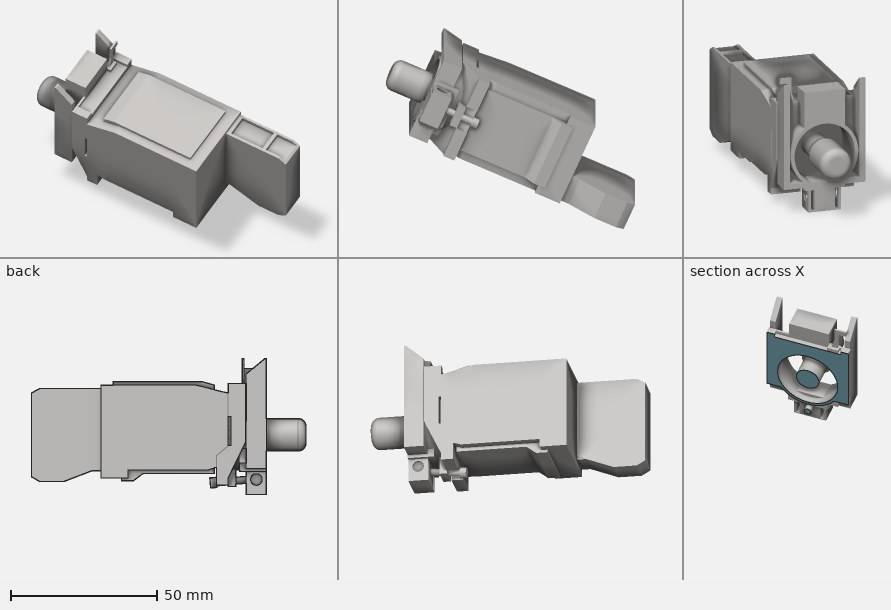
import cadquery as cq
import math


half_width = 14.9
top_z = 26.0
bottom_z = -20.5
length = 93.95

lamp_radius = 5.5
lamp_nose_radius = 2.7
lamp_stem_radius = 4.2

frame_front = 13.6
frame_back = 20.5
side_plate_outer_y = 14.7
side_plate_inner_y = 12.6
side_plate_tip = 0.6
side_plate_shoulder_z = 20.8
floor_top_z = -9.7
floor_bottom_z = -11.5
block_half_width = 7.2
block_back = 21.5
block_top_z = 22.7
foot_back = 22.7
foot_bottom_z = -12.6
collar_radius = 12.1
bore_radius = 10.9

tab_half_width = 5.8
tab_slot_outer_y = 5.0
tab_slot_inner_y = 3.8
tab_web = 0.5
tab_hole_x = 17.0
tab_hole_z = -15.3
tab_hole_radius = 2.0
nut_front = 24.05
nut_top_z = -11.65
nut_bottom_z = -17.8
nut_half_width = 3.8
screw_start_z = -15.4
screw_tilt = 5.0
screw_radius = 1.2
screw_head_radius = 1.8
screw_shank_length = 10.1
screw_embed = 0.9
screw_head_length = 2.3

carrier_front = 20.8
body_front = 26.7
carrier_heel = 30.7
carrier_top_z = 17.6
carrier_slope_z = -2.6
carrier_lip_z = -14.8
carrier_bottom_z = -17.1
cheek_inner_y = 12.0
recess_floor_z = 16.3
lip_notch_half_width = 4.4
lip_notch_heel_z = -15.7
heel_top_z = -7.2
window_front = 25.7
window_bottom_z = -3.8
window_top_z = 6.2

post_front = 20.4
post_back = 23.0
post_inner_y = 7.1
post_outer_y = 11.2
hook_front = 21.2
hook_thickness = 0.7
hook_tip_y = 13.5
hook_arm_bottom_z = 24.05
hook_arm_root_z = 22.7
hook_stem_outer_y = 10.9
hook_stem_inner_y = 9.4
hook_flare_inner_z = 20.95
hook_flare_outer_z = 18.8
hook_foot_inner_y = 8.3
hook_foot_outer_y = 10.6

body_back = 70.2
body_top_z = 17.0
body_brow_z = 14.3
body_brow_x = 37.9
body_chin_x = 33.5
body_bottom_z = -12.0
body_nose_z = -11.2
lug_front = 60.9
lug_bottom_z = -14.8
pad_half_width = 11.7
pad_front = 31.4
pad_top_z = 18.1
pad_slope_x = 35.4
top_pad_back = 65.95
bottom_pad_z = -13.2
catch_bottom_z = -15.8
catch_slope_x = 55.7
catch_front = 59.1
catch_back = 63.1

contact_inner_y = 5.3
contact_outer_y = 14.6
cover_thickness = 0.3
contact_top_z = 15.9
contact_bottom_z = -16.1
contact_toe_x = 83.0
contact_chamfer_x = 91.0
contact_chamfer_top_z = 14.3
contact_chamfer_bottom_z = -14.4
contact_root_z = -11.2
core_root_z = -12.3
terminal_depth = 1.4
terminal_outer_y = 13.7
terminal_inner_y = 6.0
terminal_spans = [(71.6, 84.1), (85.4, 93.1)]


def box(x0, x1, y0, y1, z0, z1):
    """Box between two opposite corners."""
    return cq.Workplane("XY").box(x1 - x0, y1 - y0, z1 - z0, centered=False).translate((x0, y0, z0))


def side_profile(points, y0, y1):
    """Outline of (x, z) points extruded from y0 to y1."""
    return cq.Workplane("XZ", origin=(0, y0, 0)).polyline(points).close().extrude(y0 - y1)


def rod(radius, x0, x1):
    """Cylinder on the lamp axis."""
    return cq.Workplane("YZ", origin=(x0, 0, 0)).circle(radius).extrude(x1 - x0)


def join(parts):
    """Fuse parts, keeping the seams where flush parts meet."""
    solid = parts[0]
    for part in parts[1:]:
        solid = solid.union(part, clean=False)
    return solid


def make_lamp():
    bulb = rod(lamp_radius, 0, frame_front).faces("<X").edges().fillet(lamp_nose_radius)
    return bulb.union(rod(lamp_stem_radius, frame_front, body_front))


def make_frame():
    plate_outline = [
        (frame_front, floor_bottom_z),
        (frame_front, top_z),
        (frame_front + side_plate_tip, top_z),
        (frame_back, side_plate_shoulder_z),
        (frame_back, floor_bottom_z),
    ]
    return join([
        side_profile(plate_outline, side_plate_inner_y, side_plate_outer_y),
        side_profile(plate_outline, -side_plate_outer_y, -side_plate_inner_y),
        box(frame_front, frame_back, -side_plate_outer_y, side_plate_outer_y, floor_bottom_z, floor_top_z),
        box(frame_front, foot_back, -block_half_width, block_half_width, foot_bottom_z, floor_top_z),
        box(frame_front, block_back, -block_half_width, block_half_width, 0, block_top_z),
        rod(collar_radius, frame_front, body_front),
    ])


def make_tab():
    tab = box(frame_front, frame_back, -tab_half_width, tab_half_width, bottom_z, foot_bottom_z)
    for side in (-1, 1):
        slot_y = sorted((side * tab_slot_inner_y, side * tab_slot_outer_y))
        tab = tab.cut(box(frame_front, frame_back, *slot_y, bottom_z + tab_web, foot_bottom_z))
        hole = cq.Workplane("XZ", origin=(tab_hole_x, side * tab_slot_inner_y, tab_hole_z))
        tab = tab.cut(hole.circle(tab_hole_radius).extrude(-side * (tab_half_width - tab_slot_inner_y)))
    return tab


def make_carrier():
    outline = [
        (carrier_front, carrier_top_z),
        (body_front, carrier_top_z),
        (body_front, window_bottom_z),
        (carrier_heel, heel_top_z),
        (carrier_heel, carrier_bottom_z),
        (body_front, carrier_bottom_z),
        (body_front, carrier_lip_z),
        (carrier_front, carrier_slope_z),
    ]
    carrier = side_profile(outline, -half_width, half_width)
    carrier = carrier.cut(
        box(block_back, body_front, -cheek_inner_y, cheek_inner_y, recess_floor_z, carrier_top_z)
    )
    carrier = carrier.cut(
        box(body_front, carrier_heel, -cheek_inner_y, cheek_inner_y, body_nose_z, window_bottom_z)
    )
    notch_outline = [
        (body_front, carrier_lip_z),
        (carrier_heel, lip_notch_heel_z),
        (carrier_heel, carrier_bottom_z),
        (body_front, carrier_bottom_z),
    ]
    carrier = carrier.cut(side_profile(notch_outline, -lip_notch_half_width, lip_notch_half_width))
    for y0 in (-half_width, cheek_inner_y):
        y1 = y0 + half_width - cheek_inner_y
        carrier = carrier.cut(box(window_front, body_front, y0, y1, window_bottom_z, window_top_z))
    return carrier


def make_post():
    return box(post_front, post_back, post_inner_y, post_outer_y, floor_top_z, carrier_top_z)


def make_hook():
    outline = [
        (hook_tip_y, top_z),
        (hook_stem_inner_y, top_z),
        (hook_stem_inner_y, hook_flare_inner_z),
        (hook_foot_inner_y, carrier_top_z),
        (hook_foot_outer_y, carrier_top_z),
        (hook_stem_outer_y, hook_flare_outer_z),
        (hook_stem_outer_y, hook_arm_root_z),
        (post_outer_y, hook_arm_bottom_z),
        (hook_tip_y, hook_arm_bottom_z),
    ]
    return cq.Workplane("YZ", origin=(hook_front, 0, 0)).polyline(outline).close().extrude(hook_thickness)


def make_body():
    outline = [
        (body_front, body_brow_z),
        (body_brow_x, body_top_z),
        (body_back, body_top_z),
        (body_back, lug_bottom_z),
        (lug_front, lug_bottom_z),
        (lug_front, body_bottom_z),
        (body_chin_x, body_bottom_z),
        (carrier_heel, body_nose_z),
        (body_front, body_nose_z),
    ]
    return side_profile(outline, -half_width, half_width)


def make_pads():
    top_outline = [
        (pad_front, 0),
        (pad_front, body_top_z),
        (pad_slope_x, pad_top_z),
        (top_pad_back, pad_top_z),
        (top_pad_back, 0),
    ]
    bottom_outline = [
        (pad_front, 0),
        (pad_front, bottom_pad_z),
        (catch_slope_x, bottom_pad_z),
        (catch_front, catch_bottom_z),
        (catch_back, catch_bottom_z),
        (catch_back, 0),
    ]
    return join([
        side_profile(outline, -pad_half_width, pad_half_width)
        for outline in (top_outline, bottom_outline)
    ])


def make_contact_block():
    slope = (contact_root_z - contact_bottom_z) / (contact_toe_x - body_back)
    core_root_x = body_back + (contact_root_z - core_root_z) / slope
    rim = [
        (contact_toe_x, contact_bottom_z),
        (contact_chamfer_x, contact_bottom_z),
        (length, contact_chamfer_bottom_z),
        (length, contact_chamfer_top_z),
        (contact_chamfer_x, contact_top_z),
        (body_back, contact_top_z),
    ]
    cover_outline = rim + [(body_back, contact_root_z)]
    core_outline = rim + [(body_back, core_root_z), (core_root_x, core_root_z)]
    block = side_profile(core_outline, contact_inner_y, contact_outer_y)
    block = block.union(side_profile(cover_outline, contact_inner_y - cover_thickness, contact_inner_y))
    for x0, x1 in terminal_spans:
        pocket = box(x0, x1, terminal_inner_y, terminal_outer_y, contact_top_z - terminal_depth, contact_top_z)
        block = block.cut(pocket)
    return block


def make_clamp_screw():
    shank_length = screw_shank_length + screw_embed
    tilt = math.radians(screw_tilt)
    axis = cq.Vector(math.cos(tilt), 0, -math.sin(tilt))
    start = cq.Vector(frame_back, 0, screw_start_z) - axis * screw_embed
    seat = start + axis * shank_length
    shank = cq.Solid.makeCylinder(screw_radius, shank_length, start, axis)
    head = cq.Solid.makeCylinder(screw_head_radius, screw_head_length, seat, axis)
    nut = box(nut_front, body_front, -nut_half_width, nut_half_width, nut_bottom_z, nut_top_z)
    return join([nut, cq.Workplane(shank), cq.Workplane(head)])


def make_lamp_bore():
    """Round bore with a flat floor inside the frame."""
    floor = box(frame_front, frame_back, -collar_radius, collar_radius, -collar_radius, floor_top_z)
    return rod(bore_radius, frame_front, body_front).cut(floor)


carrier = make_carrier()
frame = make_frame().union(make_tab())
housing = join([frame, make_post(), carrier]).cut(make_lamp_bore())
result = join([
    housing,
    make_body().cut(carrier),
    make_pads(),
    make_contact_block(),
    make_clamp_screw(),
    make_hook(),
    make_lamp(),
])